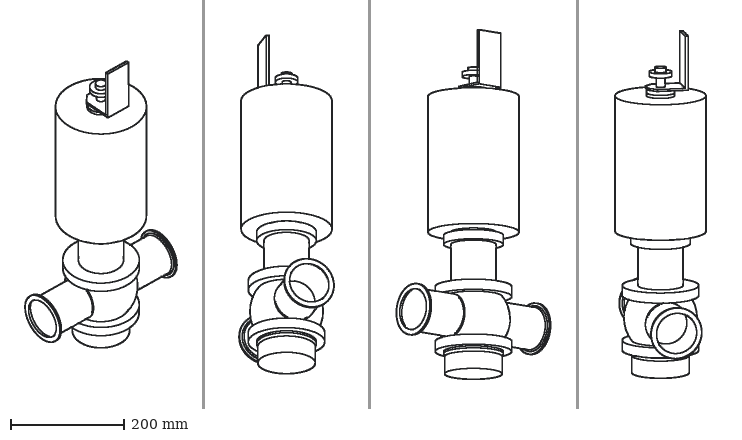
import cadquery as cq

base_bottom = 0.0
base_ring_bottom = 31.0
base_ring_mid = 36.5
lower_clamp_bottom = 40.0
clamp_height = 18.0
ball_centre = 98.5
neck_ring_bottom = 232.5
neck_ring_top = 249.0
actuator_bottom = 254.5
actuator_top = 498.5
seat_height = 5.5
bracket_top = 608.5

base_dia = 101.5
ring_dia = 105.0
clamp_dia = 135.0
ball_dia = 129.5
neck_dia = 80.0
actuator_dia = 160.5
seat_dia = 50.0

port_length = 140.0
port_dia = 76.0
port_bore = 72.5
ferrule_dia = 91.0
ferrule_thickness = 3.5
hub_dia = 81.5
hub_length = 2.5

plate_bottom = 511.0
plate_thickness = 3.5
plate_width = seat_dia
plate_right = 45.0
plate_corner = 14.0
wall_thickness = 5.5
stem_dia = 16.0
collar_dia = 40.0
collar_bottom = 533.5
collar_top = 541.5
head_dia = 19.5
head_top = 549.5

lower_clamp_top = lower_clamp_bottom + clamp_height
upper_clamp_bottom = 2 * ball_centre - lower_clamp_top
upper_clamp_top = upper_clamp_bottom + clamp_height
seat_top = actuator_top + seat_height


def disc(diameter, bottom, top):
    """Upright cylinder on the valve axis."""
    return cq.Workplane("XY").workplane(offset=bottom).circle(diameter / 2).extrude(top - bottom)


def make_ball():
    """Solid ball where the two side ports meet the valve axis."""
    return cq.Workplane("XY").sphere(ball_dia / 2).translate((0, 0, ball_centre))


def make_base():
    """Bottom spigot with a ring that tapers in to it below the clamp."""
    profile = [
        (0, base_bottom),
        (base_dia / 2, base_bottom),
        (base_dia / 2, base_ring_bottom),
        (ring_dia / 2, base_ring_mid),
        (ring_dia / 2, lower_clamp_bottom),
        (0, lower_clamp_bottom),
    ]
    return cq.Workplane("XZ").polyline(profile).close().revolve(360, (0, 0, 0), (0, 1, 0))


def make_port(side):
    """Pipe with a ferrule at its end, open down to the ball; side is -1 or +1 along Y."""
    ferrule_back = port_length - ferrule_thickness
    profile = [
        (0, 0),
        (port_dia / 2, 0),
        (port_dia / 2, ferrule_back - hub_length),
        (hub_dia / 2, ferrule_back),
        (ferrule_dia / 2, ferrule_back),
        (ferrule_dia / 2, port_length),
        (0, port_length),
    ]
    pipe = cq.Workplane("XY").polyline(profile).close().revolve(360, (0, 0, 0), (0, 1, 0))
    pipe = pipe.cut(cq.Workplane("XZ").circle(port_bore / 2).extrude(-port_length))
    if side < 0:
        pipe = pipe.mirror("XZ")
    return pipe.translate((0, 0, ball_centre))


def make_valve():
    """Valve housing, neck and actuator up to the bracket seat."""
    body = make_base()
    body = body.union(disc(clamp_dia, lower_clamp_bottom, lower_clamp_top))
    body = body.union(disc(clamp_dia, upper_clamp_bottom, upper_clamp_top))
    body = body.union(disc(neck_dia, upper_clamp_top, actuator_bottom))
    body = body.union(disc(ring_dia, neck_ring_bottom, neck_ring_top))
    body = body.union(disc(actuator_dia, actuator_bottom, actuator_top))
    body = body.union(disc(seat_dia, actuator_top, seat_top))
    body = body.union(make_ball())
    for side in (-1, 1):
        body = body.union(make_port(side))
    return body


def make_indicator():
    """Seat disc, angled bracket and collared stem, standing on the actuator seat."""
    plate_left = -seat_dia / 2
    plate_length = plate_right - plate_left
    plate = cq.Workplane("XY").box(plate_length, plate_width, plate_thickness, centered=(False, True, False))
    plate = plate.edges("|Z and <X").chamfer(plate_corner)
    plate = plate.translate((plate_left, 0, plate_bottom))
    wall_height = bracket_top - plate_bottom
    wall = cq.Workplane("XY").box(wall_thickness, plate_width, wall_height, centered=(False, True, False))
    wall = wall.translate((plate_right - wall_thickness, 0, plate_bottom))
    body = disc(seat_dia, seat_top, plate_bottom).union(plate).union(wall)
    body = body.union(disc(stem_dia, plate_bottom, collar_bottom))
    body = body.union(disc(collar_dia, collar_bottom, collar_top))
    return body.union(disc(head_dia, collar_top, head_top))


valve = make_valve()
indicator = make_indicator()
result = cq.Compound.makeCompound([valve.solids().val(), indicator.solids().val()])